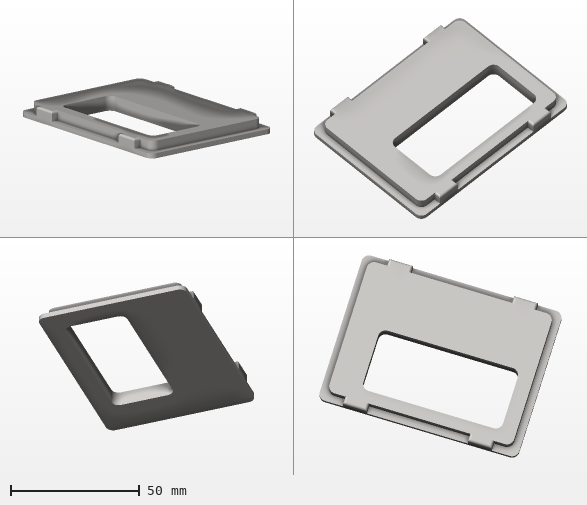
import cadquery as cq

length = 81.0
width = 61.0
height = 6.0
flange_height = 2.0
corner_radius = 3.0

inset = 3.0
panel_length = length - 2 * inset
panel_width = width - 2 * inset
panel_height = height - flange_height

window_length = 56.7
window_width = 25.3
window_center_x = 3.15
window_center_y = -10.05

tab_length = 9.7
tab_spacing = 50.7
tab_edge_radius = 1.0


def rounded_plate(size_x, size_y, thickness, bottom):
    """Plate with rounded vertical corners, centered on the Z axis."""
    plate = cq.Workplane("XY").workplane(offset=bottom).rect(size_x, size_y).extrude(thickness)
    return plate.edges("|Z").fillet(corner_radius)


def tab_pair(center_x):
    """Full-width bar with rounded top edges; its two ends form opposite tabs."""
    bar = (
        cq.Workplane("XY")
        .workplane(offset=flange_height)
        .center(center_x, 0)
        .rect(tab_length, width)
        .extrude(panel_height)
    )
    return bar.faces(">Z").edges().fillet(tab_edge_radius)


flange = rounded_plate(length, width, flange_height, 0)
panel = rounded_plate(panel_length, panel_width, panel_height, flange_height)
window = rounded_plate(window_length, window_width, height, 0)
window = window.translate((window_center_x, window_center_y, 0))

body = flange.union(panel)
for side in (-1, 1):
    body = body.union(tab_pair(side * tab_spacing / 2))

result = body.cut(window).clean()